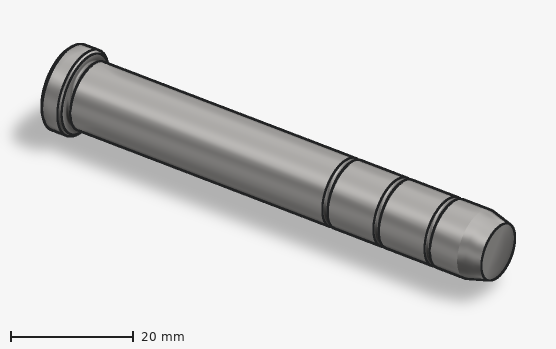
import cadquery as cq

total_length = 85.0
head_diameter = 15.0
head_length = 4.0
head_chamfer = 0.5
shank_diameter = 12.0

groove_width = 1.0
groove_depth = groove_width / 2
groove_pitch = 10.0
ring_groove_count = 3
first_ring_groove_start = 54.5
neck_groove_start = head_length

tip_length = 4.0
tip_diameter = 9.9

head_radius = head_diameter / 2
shank_radius = shank_diameter / 2
tip_radius = tip_diameter / 2


def make_head():
    head = cq.Workplane("YZ").circle(head_radius).extrude(head_length)
    return head.faces("<X or >X").chamfer(head_chamfer)


def make_shank():
    """Revolve the cylinder and its conical tip as one half profile."""
    tip_start = total_length - tip_length
    return (
        cq.Workplane("XY")
        .moveTo(head_length, 0)
        .lineTo(head_length, shank_radius)
        .lineTo(tip_start, shank_radius)
        .lineTo(total_length, tip_radius)
        .lineTo(total_length, 0)
        .close()
        .revolve(360, (0, 0, 0), (1, 0, 0))
    )


def make_groove_cutter(start):
    """Ring with a half-round floor that removes one groove."""
    end = start + groove_width
    return (
        cq.Workplane("XY")
        .moveTo(start, shank_radius)
        .threePointArc((start + groove_width / 2, shank_radius - groove_depth), (end, shank_radius))
        .lineTo(end, head_radius)
        .lineTo(start, head_radius)
        .close()
        .revolve(360, (0, 0, 0), (1, 0, 0))
    )


shank = make_shank().cut(make_groove_cutter(neck_groove_start))
for index in range(ring_groove_count):
    ring_start = first_ring_groove_start + index * groove_pitch
    shank = shank.cut(make_groove_cutter(ring_start))

result = make_head().union(shank)